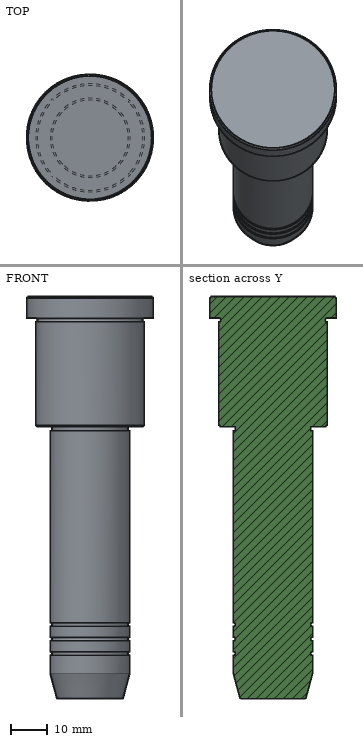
import cadquery as cq
import math

total_length = 111.0
head_height = 6.0
collar_length = 30.0
taper_length = 7.0

head_radius = 35.0 / 2
collar_radius = 30.0 / 2
shank_radius = 22.0 / 2

taper_angle = math.radians(15)
tip_fillet = 0.5
head_chamfer = 0.5
collar_chamfer = 0.5

neck_width = 1.0
neck_depth = 0.5

groove_radius = 0.5
ring_count = 3
ring_pitch = 4.0
lowest_ring_center = 12.5

head_bottom = total_length - head_height
collar_bottom = head_bottom - collar_length
neck_bottom = collar_bottom - neck_width
neck_radius = shank_radius - neck_depth
tip_radius = shank_radius - taper_length * math.tan(taper_angle)


def make_pin():
    """Stepped pin revolved about Z: tapered tip, shank, neck, collar and head."""
    profile = [
        (0, 0),
        (tip_radius, 0),
        (shank_radius, taper_length),
        (shank_radius, neck_bottom),
        (neck_radius, neck_bottom),
        (neck_radius, collar_bottom),
        (collar_radius - collar_chamfer, collar_bottom),
        (collar_radius, collar_bottom + collar_chamfer),
        (collar_radius, head_bottom),
        (head_radius, head_bottom),
        (head_radius, total_length - head_chamfer),
        (head_radius - head_chamfer, total_length),
        (0, total_length),
    ]
    return cq.Workplane("XZ").polyline(profile).close().revolve(360, (0, 0), (0, 1))


def round_tip(pin):
    """Round the bottom edge of the tapered tip."""
    return pin.faces("<Z").edges().fillet(tip_fillet)


def make_groove(radius, center_height):
    """Ring cutter with a half-round section opening onto the given radius."""
    return (
        cq.Workplane("XZ")
        .moveTo(radius, center_height - groove_radius)
        .threePointArc(
            (radius - groove_radius, center_height),
            (radius, center_height + groove_radius),
        )
        .close()
        .revolve(360, (0, 0), (0, 1))
    )


def cut_grooves(pin):
    """Cut the relief groove under the head and the rings on the shank."""
    pin = pin.cut(make_groove(collar_radius, head_bottom - groove_radius))
    for index in range(ring_count):
        ring_center = lowest_ring_center + index * ring_pitch
        pin = pin.cut(make_groove(shank_radius, ring_center))
    return pin


result = cut_grooves(round_tip(make_pin()))